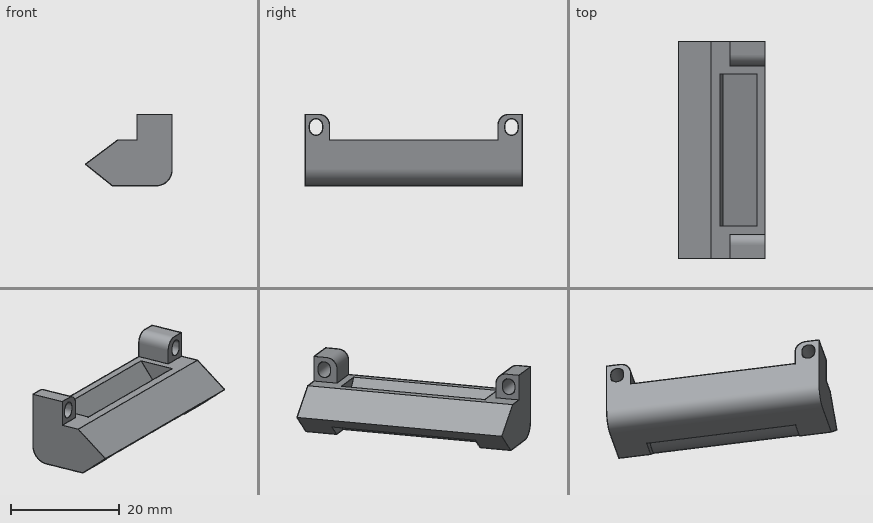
import cadquery as cq

body_depth = 16.0
body_length = 40.0
body_height = 8.5
tip_height = 4.0
upper_bevel_run = 6.0
lower_bevel_run = 5.0
back_corner_radius = 3.0

total_height = 13.2
lug_depth = 6.5
lug_width = 4.5
lug_corner_radius = 2.0
lug_hole_width = 2.4
lug_hole_height = 3.0
lug_hole_end_offset = 2.0

chute_length = 28.0
chute_front_x = 7.65
chute_back_x = 14.5
chute_mouth_height = 2.1
chute_front_radius = 4.4
chute_nose_radius = 0.5

nose_x = chute_back_x - body_height * tip_height / lower_bevel_run

mouth_x = lower_bevel_run * (1 - chute_mouth_height / tip_height)

lug_height = total_height - body_height


def make_bar(length):
    """Pointed bar, centered on Y = 0, with a rounded bottom back edge."""
    profile = (
        cq.Workplane("XZ", origin=(0, length / 2, 0))
        .moveTo(0, tip_height)
        .lineTo(upper_bevel_run, body_height)
        .lineTo(body_depth, body_height)
        .lineTo(body_depth, back_corner_radius)
        .radiusArc((body_depth - back_corner_radius, 0), back_corner_radius)
        .lineTo(lower_bevel_run, 0)
        .close()
    )
    return profile.extrude(length)


def make_chute():
    """Cutter with a flat back wall and a front wall that bulges into the slot."""
    profile = (
        cq.Workplane("XZ", origin=(0, chute_length / 2, 0))
        .moveTo(chute_front_x, body_height)
        .lineTo(chute_back_x, body_height)
        .lineTo(nose_x, 0)
        .lineTo(mouth_x, 0)
        .lineTo(mouth_x, chute_mouth_height)
        .radiusArc((chute_front_x, body_height), -chute_front_radius)
        .close()
    )
    return profile.extrude(chute_length)


def make_rails():
    """The two rails in front of and behind the chute; the back one has a rounded nose."""
    rails = make_bar(chute_length).cut(make_chute())
    nose_edge = cq.selectors.NearestToPointSelector((nose_x, 0, 0))
    return rails.edges("|Y").edges(nose_edge).fillet(chute_nose_radius)


def make_end_block(end):
    """Solid stretch of bar between the chute and one end (end = 1 or -1)."""
    block_length = (body_length - chute_length) / 2
    center_y = end * (chute_length + block_length) / 2
    return make_bar(block_length).translate((0, center_y, 0))


def make_lug(end):
    """Lug at one end of the bar (end = 1 or -1), pierced along X by an upright slot."""
    center_y = end * (body_length - lug_width) / 2
    inner_side = "<Y" if end > 0 else ">Y"
    block = (
        cq.Workplane("XY", origin=(body_depth - lug_depth / 2, center_y, body_height))
        .box(lug_depth, lug_width, lug_height, centered=(True, True, False))
        .faces(inner_side)
        .edges(">Z")
        .fillet(lug_corner_radius)
    )
    hole_y = end * (body_length / 2 - lug_hole_end_offset)
    hole_z = body_height + lug_height / 2
    hole = (
        cq.Workplane("YZ", origin=(body_depth - lug_depth, hole_y, hole_z))
        .slot2D(lug_hole_height, lug_hole_width, 90)
        .extrude(lug_depth)
    )
    return block.cut(hole)


result = make_rails()
for bar_end in (1, -1):
    result = result.union(make_end_block(bar_end)).union(make_lug(bar_end))
result = result.translate((-body_depth / 2, 0, 0))